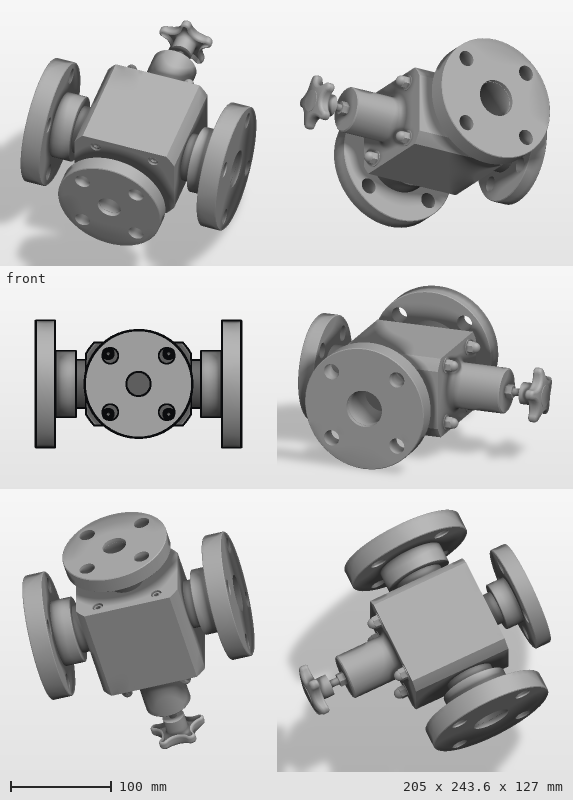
import cadquery as cq
import math


OVERALL_LENGTH = 243.6

BODY_WIDTH = 104.8
BODY_HEIGHT = 82.8
BODY_BAR_DIAMETER = 120.9
BODY_BACK_Y = 59.0
BODY_FRONT_Y = -43.1

RUN_END = 102.5
RUN_FLANGE_DIAMETER = 127.0
RUN_FLANGE_THICKNESS = 20.0
RUN_HUB_DIAMETER = 66.5
RUN_HUB_LENGTH = 20.5
RUN_PIPE_DIAMETER = 48.2
RUN_BORE_DIAMETER = 37.5
RUN_MOUTH_DIAMETER = 38.0
RUN_BOLT_CIRCLE = 98.5
RUN_BOLT_HOLE = 16.0

BRANCH_END = 90.0
BRANCH_FLANGE_DIAMETER = 108.0
BRANCH_FLANGE_THICKNESS = 16.0
BRANCH_HUB_DIAMETER = 48.7
BRANCH_HUB_LENGTH = 18.3
BRANCH_PIPE_DIAMETER = 33.5
BRANCH_BORE_DIAMETER = 23.9
BRANCH_MOUTH_DIAMETER = 24.4
BRANCH_BOLT_CIRCLE = 79.5
BRANCH_BOLT_HOLE = 15.8

MOUTH_DEPTH = 4.9
BOLTS_PER_FLANGE = 4
FLANGE_CHAMFER = 0.7
HUB_CHAMFER = 0.5

BOLT_SPACING = 60.2
WASHER_DIAMETER = 15.8
WASHER_THICKNESS = 0.7
NUT_ACROSS_FLATS = 11.0
NUT_HEIGHT = 6.8
NUT_CHAMFER = 1.2
CAP_DIAMETER = 10.7
RECESS_DIAMETER = 11.0
RECESS_DEPTH = 6.0
HEAD_DIAMETER = 9.5
HEAD_SETBACK = 1.2
HEAD_CHAMFER = 0.7
SOCKET_ACROSS_FLATS = 4.9
SOCKET_DEPTH = 3.0
SOCKET_TIP_DEPTH = 1.5

BONNET_DIAMETER = 45.8
BONNET_TOP_Y = 112.3
BONNET_CHAMFER = 1.2
BONNET_ROOT_RADIUS = 5.5
STEM_NUT_ACROSS_FLATS = 12.2
STEM_NUT_TOP_Y = 119.5
STEM_DIAMETER = 7.5

WHEEL_TOP_Y = OVERALL_LENGTH - BRANCH_END
WHEEL_HEIGHT = 12.2
WHEEL_HUB_DIAMETER = 22.2
WHEEL_HUB_LENGTH = 12.5
WHEEL_HUB_FILLET = 3.7
LOBES = 5
LOBE_CIRCLE_RADIUS = 23.6
LOBE_RADIUS = 4.9
VALLEY_RADIUS = 17.3
WHEEL_BOSS_RISE = 0.5
WHEEL_DOME_DROP = 3.7
WHEEL_TOP_FILLET = 3.2
WHEEL_RIM_FILLET = 2.7
WHEEL_WALL = 2.2
WHEEL_WEB = 5.8

PICK_MARGIN = 0.2


def y_plane(y):
    """Sketch plane at height y facing +Y, with local x towards +Z and local y towards +X."""
    return cq.Plane(origin=(0, y, 0), xDir=(0, 0, 1), normal=(0, 1, 0))


def y_cylinder(diameter, y_from, y_to):
    return cq.Workplane(y_plane(y_from)).circle(diameter / 2).extrude(y_to - y_from)


def y_hexagon(across_flats, y_from, y_to):
    """Hexagonal prism along Y with two corners on the local x axis (Z)."""
    across_corners = across_flats / math.cos(math.pi / 6)
    return cq.Workplane(y_plane(y_from)).polygon(6, across_corners).extrude(y_to - y_from)


def make_body():
    length = BODY_BACK_Y - BODY_FRONT_Y
    block = cq.Workplane(y_plane(BODY_FRONT_Y)).rect(BODY_HEIGHT, BODY_WIDTH).extrude(length)
    return block.intersect(y_cylinder(BODY_BAR_DIAMETER, BODY_FRONT_Y, BODY_BACK_Y))


def make_port(end, flange_diameter, flange_thickness, hub_diameter, hub_length, pipe_diameter):
    """Pipe, hub and flange along +Z, from the body axis to the flange face at z = end."""
    flange_back = end - flange_thickness
    flange = (
        cq.Workplane().workplane(offset=flange_back).circle(flange_diameter / 2)
        .extrude(flange_thickness).edges().chamfer(FLANGE_CHAMFER)
    )
    hub = (
        cq.Workplane().workplane(offset=flange_back - hub_length).circle(hub_diameter / 2)
        .extrude(hub_length).edges().chamfer(HUB_CHAMFER)
    )
    pipe = cq.Workplane().circle(pipe_diameter / 2).extrude(flange_back)
    return pipe.union(hub).union(flange)


def make_port_openings(end, body_face, flange_thickness, bore, mouth, bolt_circle, bolt_hole):
    """Bore from the flange face to the body face, and four bolt holes through the flange."""
    bore_cut = cq.Workplane().workplane(offset=body_face).circle(bore / 2).extrude(end - body_face)
    mouth_cut = cq.Workplane().workplane(offset=end - MOUTH_DEPTH).circle(mouth / 2).extrude(MOUTH_DEPTH)
    bolt_holes = (
        cq.Workplane().workplane(offset=end - flange_thickness)
        .polarArray(bolt_circle / 2, 180 / BOLTS_PER_FLANGE, 360, BOLTS_PER_FLANGE)
        .circle(bolt_hole / 2).extrude(flange_thickness)
    )
    return bore_cut.union(mouth_cut).union(bolt_holes)


def towards_x(shape, side):
    """Turns a shape built along +Z towards +X (side = 1) or -X (side = -1)."""
    return shape.rotate((0, 0, 0), (0, 1, 0), 90 * side)


def towards_front(shape):
    """Turns a shape built along +Z towards -Y."""
    return shape.rotate((0, 0, 0), (1, 0, 0), 90)


def make_cap_nut():
    """Washer, hexagon and domed cap on the back of the body, on the Y axis."""
    washer_top = BODY_BACK_Y + WASHER_THICKNESS
    nut_top = washer_top + NUT_HEIGHT
    washer = y_cylinder(WASHER_DIAMETER, BODY_BACK_Y, washer_top)
    across_corners = NUT_ACROSS_FLATS / math.cos(math.pi / 6)
    turned_blank = y_cylinder(across_corners, washer_top, nut_top).faces(">Y").edges().chamfer(NUT_CHAMFER)
    hexagon = y_hexagon(NUT_ACROSS_FLATS, washer_top, nut_top).intersect(turned_blank)
    dome = cq.Workplane("XY").sphere(CAP_DIAMETER / 2).translate((0, nut_top, 0))
    return washer.union(hexagon).union(dome)


def make_head_recess():
    """Ring around a sunk bolt head, the gap in front of it and its hexagon socket with a conical floor."""
    head_front = BODY_FRONT_Y + HEAD_SETBACK
    recess = y_cylinder(RECESS_DIAMETER, BODY_FRONT_Y, BODY_FRONT_Y + RECESS_DEPTH)
    head = y_cylinder(HEAD_DIAMETER, head_front, BODY_FRONT_Y + RECESS_DEPTH)
    head = head.faces("<Y").edges().chamfer(HEAD_CHAMFER)
    socket = y_hexagon(SOCKET_ACROSS_FLATS, head_front, head_front + SOCKET_DEPTH)
    socket_tip = cq.Workplane(cq.Solid.makeCone(
        SOCKET_ACROSS_FLATS / 2, 0, SOCKET_TIP_DEPTH,
        cq.Vector(0, head_front + SOCKET_DEPTH, 0), cq.Vector(0, 1, 0),
    ))
    return recess.cut(head).union(socket).union(socket_tip)


def make_bonnet_and_stem():
    half = BONNET_DIAMETER / 2
    root = BONNET_ROOT_RADIUS
    arc_offset = root * (1 - math.sqrt(0.5))
    bonnet = (
        cq.Workplane("XY").moveTo(0, BODY_BACK_Y).lineTo(half + root, BODY_BACK_Y)
        .threePointArc((half + arc_offset, BODY_BACK_Y + arc_offset), (half, BODY_BACK_Y + root))
        .lineTo(half, BONNET_TOP_Y - BONNET_CHAMFER)
        .lineTo(half - BONNET_CHAMFER, BONNET_TOP_Y)
        .lineTo(0, BONNET_TOP_Y).close().revolve(360, (0, 0, 0), (0, 1, 0))
    )
    stem_nut = y_hexagon(STEM_NUT_ACROSS_FLATS, BONNET_TOP_Y, STEM_NUT_TOP_Y)
    stem_nut = stem_nut.rotate((0, 0, 0), (0, 1, 0), 90)
    stem = y_cylinder(STEM_DIAMETER, BONNET_TOP_Y, WHEEL_TOP_Y - WHEEL_HEIGHT)
    return bonnet.union(stem_nut).union(stem)


def make_star(inset, y_from, y_to):
    """Five-lobed prism; lobe tips are arcs joined by tangent hollow arcs, all moved in by the inset."""
    pitch = 2 * math.pi / LOBES
    half_pitch = pitch / 2
    hollow_radius = (
        LOBE_RADIUS**2 - LOBE_CIRCLE_RADIUS**2 - VALLEY_RADIUS**2
        + 2 * LOBE_CIRCLE_RADIUS * VALLEY_RADIUS * math.cos(half_pitch)
    ) / (2 * (VALLEY_RADIUS - LOBE_CIRCLE_RADIUS * math.cos(half_pitch) - LOBE_RADIUS))
    hollow_center = VALLEY_RADIUS + hollow_radius
    touch_angle = math.atan2(
        hollow_center * math.sin(half_pitch),
        hollow_center * math.cos(half_pitch) - LOBE_CIRCLE_RADIUS,
    )
    tip_radius = LOBE_RADIUS - inset
    touch_x = LOBE_CIRCLE_RADIUS + tip_radius * math.cos(touch_angle)
    touch_y = tip_radius * math.sin(touch_angle)

    def turned(x, y, angle):
        return (
            x * math.cos(angle) - y * math.sin(angle),
            x * math.sin(angle) + y * math.cos(angle),
        )

    outline = cq.Workplane(y_plane(y_from)).moveTo(touch_x, -touch_y)
    for lobe in range(LOBES):
        angle = lobe * pitch
        outline = outline.threePointArc(
            turned(LOBE_CIRCLE_RADIUS + tip_radius, 0, angle), turned(touch_x, touch_y, angle)
        )
        outline = outline.threePointArc(
            turned(VALLEY_RADIUS - inset, 0, angle + half_pitch), turned(touch_x, -touch_y, angle + pitch)
        )
    return outline.close().extrude(y_to - y_from)


def make_handwheel():
    bottom = WHEEL_TOP_Y - WHEEL_HEIGHT
    rim = LOBE_CIRCLE_RADIUS + LOBE_RADIUS
    flat = WHEEL_HUB_DIAMETER / 2
    dome_top = WHEEL_TOP_Y - WHEEL_BOSS_RISE
    dome_radius = ((rim - flat) ** 2 + WHEEL_DOME_DROP**2) / (2 * WHEEL_DOME_DROP)
    middle = (rim - flat) / 2
    middle_drop = dome_radius - math.sqrt(dome_radius**2 - middle**2)
    domed_disc = (
        cq.Workplane("XY").moveTo(0, bottom).lineTo(rim, bottom).lineTo(rim, dome_top - WHEEL_DOME_DROP)
        .threePointArc((flat + middle, dome_top - middle_drop), (flat, dome_top))
        .lineTo(0, dome_top).close().revolve(360, (0, 0, 0), (0, 1, 0))
    )
    star = make_star(0, bottom, dome_top).intersect(domed_disc)
    star = star.faces("<Y").edges().fillet(WHEEL_RIM_FILLET)
    dome_edges = cq.selectors.BoxSelector(
        (-rim, bottom + WHEEL_HEIGHT / 2, -rim), (rim, dome_top - PICK_MARGIN, rim)
    )
    star = star.edges(dome_edges).edges("not(|Y)").fillet(WHEEL_TOP_FILLET)
    ceiling = dome_top - WHEEL_WEB
    star = star.cut(make_star(WHEEL_WALL, bottom, ceiling))
    wheel = star.union(y_cylinder(WHEEL_HUB_DIAMETER, bottom - WHEEL_HUB_LENGTH, WHEEL_TOP_Y))
    reach = flat + PICK_MARGIN
    hub_root = cq.selectors.BoxSelector(
        (-reach, ceiling - PICK_MARGIN, -reach), (reach, ceiling + PICK_MARGIN, reach), boundingbox=True
    )
    return wheel.edges(hub_root).fillet(WHEEL_HUB_FILLET)


run_port = make_port(
    RUN_END, RUN_FLANGE_DIAMETER, RUN_FLANGE_THICKNESS, RUN_HUB_DIAMETER, RUN_HUB_LENGTH, RUN_PIPE_DIAMETER
)
run_openings = make_port_openings(
    RUN_END, BODY_WIDTH / 2, RUN_FLANGE_THICKNESS, RUN_BORE_DIAMETER, RUN_MOUTH_DIAMETER,
    RUN_BOLT_CIRCLE, RUN_BOLT_HOLE,
)
branch_port = make_port(
    BRANCH_END, BRANCH_FLANGE_DIAMETER, BRANCH_FLANGE_THICKNESS, BRANCH_HUB_DIAMETER, BRANCH_HUB_LENGTH,
    BRANCH_PIPE_DIAMETER,
)
branch_openings = make_port_openings(
    BRANCH_END, -BODY_FRONT_Y, BRANCH_FLANGE_THICKNESS, BRANCH_BORE_DIAMETER, BRANCH_MOUTH_DIAMETER,
    BRANCH_BOLT_CIRCLE, BRANCH_BOLT_HOLE,
)

valve = make_body()
for side in (-1, 1):
    valve = valve.union(towards_x(run_port, side)).cut(towards_x(run_openings, side))
valve = valve.union(towards_front(branch_port)).cut(towards_front(branch_openings))
valve = valve.union(make_bonnet_and_stem())

cap_nut = make_cap_nut()
head_recess = make_head_recess()
for x in (-BOLT_SPACING / 2, BOLT_SPACING / 2):
    for z in (-BOLT_SPACING / 2, BOLT_SPACING / 2):
        valve = valve.union(cap_nut.translate((x, 0, z))).cut(head_recess.translate((x, 0, z)))

result = valve.union(make_handwheel())